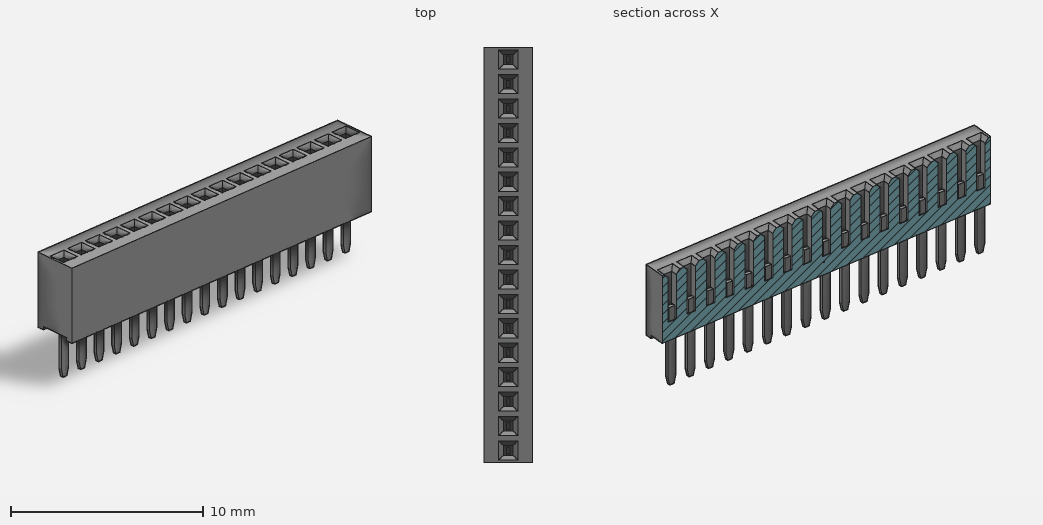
import cadquery as cq

length = 21.6
width = 2.55
total_height = 7.0
housing_height = 4.4
foot_height = 0.2
foot_width = 0.4

contact_count = 17
pitch = length / contact_count
blade_thickness = 0.2
tail_width = 0.52
post_width = 0.37
post_height = 0.86
tip_width = 0.28
tip_height = 0.5

mouth_size = 1.0
bore_size = 0.52
funnel_depth = 0.25
bore_depth = 3.02

tail_bottom = housing_height - total_height
bore_floor = housing_height - bore_depth
post_top = bore_floor + post_height
contact_positions = [(0, (i - (contact_count - 1) / 2) * pitch) for i in range(contact_count)]


def make_housing():
    """Bar with a shallow channel underneath, leaving a foot along each long side."""
    bar = cq.Workplane("XY").box(width, length, housing_height, centered=(True, True, False))
    channel = cq.Workplane("XY").box(
        width - 2 * foot_width, length, foot_height, centered=(True, True, False)
    )
    return bar.cut(channel)


def make_socket():
    """Square funnel leading into a blind square bore."""
    funnel = (
        cq.Workplane("XY", origin=(0, 0, housing_height))
        .rect(mouth_size, mouth_size)
        .workplane(offset=-funnel_depth)
        .rect(bore_size, bore_size)
        .loft(ruled=True)
    )
    bore = (
        cq.Workplane("XY", origin=(0, 0, bore_floor))
        .rect(bore_size, bore_size)
        .extrude(bore_depth - funnel_depth)
    )
    return funnel.union(bore)


def make_contact():
    """Flat blade: a narrow post standing in the bore above a wider tail with a tapered tip."""
    return (
        cq.Workplane("YZ")
        .moveTo(-post_width / 2, post_top)
        .lineTo(-post_width / 2, bore_floor)
        .lineTo(-tail_width / 2, bore_floor)
        .lineTo(-tail_width / 2, tail_bottom + tip_height)
        .lineTo(-tip_width / 2, tail_bottom)
        .lineTo(tip_width / 2, tail_bottom)
        .lineTo(tail_width / 2, tail_bottom + tip_height)
        .lineTo(tail_width / 2, bore_floor)
        .lineTo(post_width / 2, bore_floor)
        .lineTo(post_width / 2, post_top)
        .close()
        .extrude(blade_thickness / 2, both=True)
    )


def repeat_along_row(shape):
    """Place a copy of the shape at every contact position."""
    solid = shape.val()
    return cq.Workplane("XY").pushPoints(contact_positions).eachpoint(lambda place: solid.moved(place))


sockets = repeat_along_row(make_socket())
contacts = repeat_along_row(make_contact())
result = make_housing().cut(sockets).union(contacts)